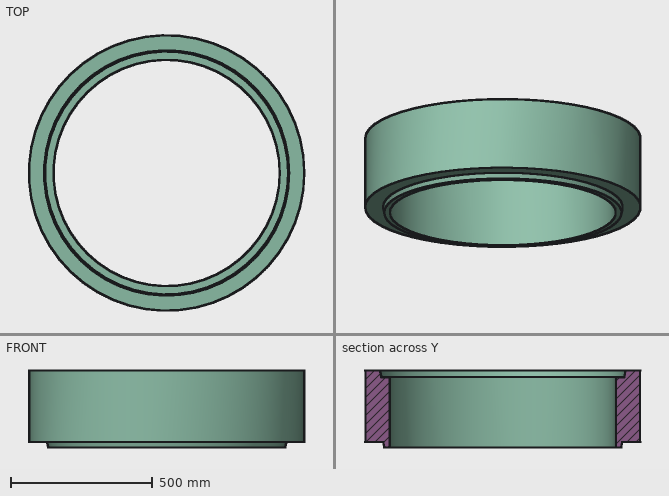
import cadquery as cq

outer_diameter = 976.0
bore_diameter = 800.0
total_height = 273.0
spigot_height = 20.0
spigot_root_diameter = 849.0
spigot_tip_diameter = 840.0
socket_depth = 23.0
socket_rim_diameter = 869.0
socket_floor_diameter = 860.0

outer_radius = outer_diameter / 2
bore_radius = bore_diameter / 2
spigot_root_radius = spigot_root_diameter / 2
spigot_tip_radius = spigot_tip_diameter / 2
socket_rim_radius = socket_rim_diameter / 2
socket_floor_radius = socket_floor_diameter / 2
socket_floor_level = total_height - socket_depth

section = (
    cq.Workplane("XZ")
    .moveTo(bore_radius, 0)
    .lineTo(spigot_tip_radius, 0)
    .lineTo(spigot_root_radius, spigot_height)
    .lineTo(outer_radius, spigot_height)
    .lineTo(outer_radius, total_height)
    .lineTo(socket_rim_radius, total_height)
    .lineTo(socket_floor_radius, socket_floor_level)
    .lineTo(bore_radius, socket_floor_level)
    .close()
)

result = section.revolve(360, (0, 0, 0), (0, 1, 0))